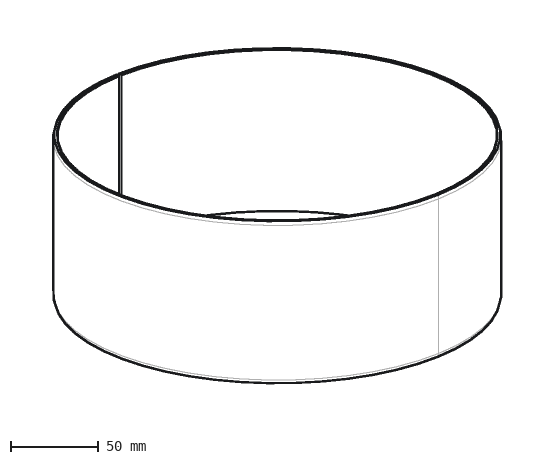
import cadquery as cq

outer_diameter = 255.0
height = 100.0
wall = 2.5
outer_bevel_depth = 0.65
outer_bevel_height = 2.3
inner_bevel = 0.38
slit_width = 2.0

outer_radius = outer_diameter / 2
inner_radius = outer_radius - wall
half_height = height / 2


def ring():
    """Revolve the wall section, bevelled at all four rim edges."""
    outer_rim = outer_radius - outer_bevel_depth
    inner_rim = inner_radius + inner_bevel
    outer_bevel_start = half_height - outer_bevel_height
    inner_bevel_start = half_height - inner_bevel
    section = [
        (inner_radius, -inner_bevel_start),
        (inner_rim, -half_height),
        (outer_rim, -half_height),
        (outer_radius, -outer_bevel_start),
        (outer_radius, outer_bevel_start),
        (outer_rim, half_height),
        (inner_rim, half_height),
        (inner_radius, inner_bevel_start),
    ]
    return cq.Workplane("XZ").polyline(section).close().revolve(360, (0, 0, 0), (0, 1, 0))


def slit():
    """Full-height cutter reaching from the axis out past the -X wall."""
    cutter = cq.Workplane("XY").box(outer_diameter, slit_width, 2 * height)
    return cutter.translate((-outer_radius, slit_width / 2, 0))


result = ring().cut(slit())